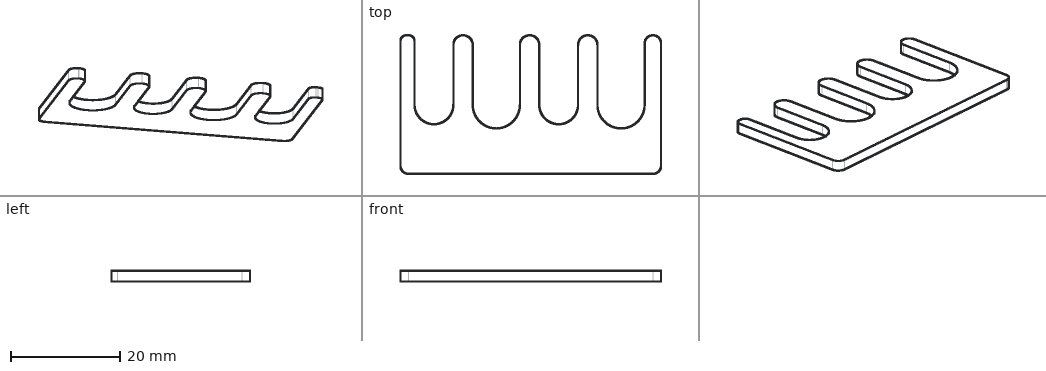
import cadquery as cq

length = 47.75
width = 25.4
thickness = 2.0
corner_radius = 1.55

first_slot_offset = 6.15
slot_pitch = 11.4
narrow_slot_width = 7.05
narrow_slot_depth = 16.3
wide_slot_width = 8.6
wide_slot_depth = 17.05
slots = [
    (narrow_slot_width, narrow_slot_depth),
    (wide_slot_width, wide_slot_depth),
    (narrow_slot_width, narrow_slot_depth),
    (wide_slot_width, wide_slot_depth),
]

first_tip_radius = 1.1
tip_flat = 0.01

left_edge = -length / 2
right_edge = length / 2
back_edge = width / 2


def slot_center(index):
    return left_edge + first_slot_offset + index * slot_pitch


def slot_cutter(index, slot_width, depth):
    """Straight slot from the back edge ending in a full half-round."""
    radius = slot_width / 2
    center_x = slot_center(index)
    arc_center_y = back_edge - depth + radius
    return (
        cq.Workplane("XY")
        .moveTo(center_x - radius, back_edge)
        .lineTo(center_x - radius, arc_center_y)
        .threePointArc((center_x, back_edge - depth), (center_x + radius, arc_center_y))
        .lineTo(center_x + radius, back_edge)
        .close()
        .extrude(thickness)
    )


def finger_spans():
    """Left and right X limits of each finger between the slots."""
    sides = [left_edge]
    for index, (slot_width, _) in enumerate(slots):
        sides.append(slot_center(index) - slot_width / 2)
        sides.append(slot_center(index) + slot_width / 2)
    sides.append(right_edge)
    return list(zip(sides[0::2], sides[1::2]))


def round_tip(body, left, right, radius):
    """Round both vertical edges at the end of one finger."""
    margin = radius / 2
    tip_edges = cq.selectors.BoxSelector(
        (left - margin, back_edge - margin, -margin),
        (right + margin, back_edge + margin, thickness + margin),
    )
    return body.edges("|Z").edges(tip_edges).fillet(radius)


result = cq.Workplane("XY").box(length, width, thickness, centered=(True, True, False))
result = result.edges("|Z and <Y").fillet(corner_radius)

for slot_index, (slot_width, slot_depth) in enumerate(slots):
    result = result.cut(slot_cutter(slot_index, slot_width, slot_depth))

for finger_index, (left, right) in enumerate(finger_spans()):
    full_tip_radius = (right - left - tip_flat) / 2
    tip_radius = first_tip_radius if finger_index == 0 else full_tip_radius
    result = round_tip(result, left, right, tip_radius)